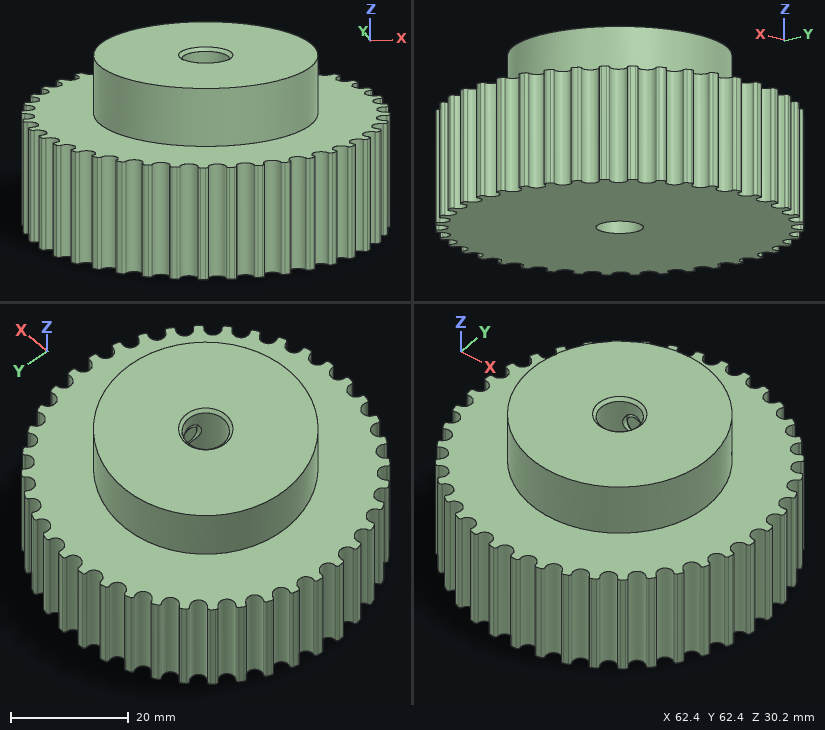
import math

import cadquery as cq

tooth_count = 40
belt_pitch = 5.0
pitch_line_offset = 0.5715
groove_radius = 1.52
groove_depth = 2.15
tip_fillet = 0.47
rim_height = 19.9

total_height = 30.18
hub_diameter = 38.1
bore_diameter = 8.0
bore_chamfer = 0.6

screw_angles = (0, 90)
screw_hole_radius = 2.15
screw_tip_radius = 1.65

outer_radius = tooth_count * belt_pitch / (2 * math.pi) - pitch_line_offset
bore_radius = bore_diameter / 2
screw_tip_distance = bore_radius
hub_height = total_height - rim_height
screw_height = rim_height + hub_height / 2


def make_groove():
    """Cutter for one belt groove on the +X side, flaring out over the rounded tooth tips."""
    arc_center = outer_radius - groove_depth + groove_radius
    round_y = groove_radius + tip_fillet
    round_reach = outer_radius - tip_fillet
    round_x = math.sqrt(round_reach**2 - round_y**2)
    tip_x = round_x * outer_radius / round_reach
    tip_y = round_y * outer_radius / round_reach
    tip_angle = math.atan2(round_y, round_x)
    mid_angle = (tip_angle - math.pi / 2) / 2
    mid_x = round_x + tip_fillet * math.cos(mid_angle)
    mid_y = round_y + tip_fillet * math.sin(mid_angle)
    clear_x = outer_radius + groove_radius
    return (
        cq.Workplane("XY")
        .moveTo(arc_center, -groove_radius)
        .threePointArc((arc_center - groove_radius, 0), (arc_center, groove_radius))
        .lineTo(round_x, groove_radius)
        .threePointArc((mid_x, mid_y), (tip_x, tip_y))
        .lineTo(clear_x, tip_y)
        .lineTo(clear_x, -tip_y)
        .lineTo(tip_x, -tip_y)
        .threePointArc((mid_x, -mid_y), (round_x, -groove_radius))
        .close()
        .extrude(rim_height)
    )


def make_toothed_rim():
    rim = cq.Workplane("XY").circle(outer_radius).extrude(rim_height)
    groove = make_groove()
    for index in range(tooth_count):
        angle = index * 360 / tooth_count
        rim = rim.cut(groove.rotate((0, 0, 0), (0, 0, 1), angle))
    return rim


def make_hub():
    return (
        cq.Workplane("XY")
        .workplane(offset=rim_height)
        .circle(hub_diameter / 2)
        .extrude(hub_height)
    )


def make_bore():
    """Cutter for the through bore, chamfered at the hub face."""
    mouth_radius = bore_radius + bore_chamfer
    return (
        cq.Workplane("XZ")
        .moveTo(0, 0)
        .lineTo(bore_radius, 0)
        .lineTo(bore_radius, total_height - bore_chamfer)
        .lineTo(mouth_radius, total_height)
        .lineTo(0, total_height)
        .close()
        .revolve(360, (0, 0, 0), (0, 1, 0))
    )


def make_screw_recess():
    """Cutter for the screw hole along +X, leaving the 45 degree beveled screw point standing."""
    bevel = screw_hole_radius - screw_tip_radius
    return (
        cq.Workplane("XY")
        .moveTo(0, 0)
        .lineTo(0, screw_hole_radius)
        .lineTo(screw_tip_distance + bevel, screw_hole_radius)
        .lineTo(screw_tip_distance, screw_tip_radius)
        .lineTo(screw_tip_distance, 0)
        .close()
        .revolve(360, (0, 0, 0), (1, 0, 0))
        .translate((0, 0, screw_height))
    )


result = make_toothed_rim().union(make_hub()).cut(make_bore())
for screw_angle in screw_angles:
    result = result.cut(make_screw_recess().rotate((0, 0, 0), (0, 0, 1), screw_angle))